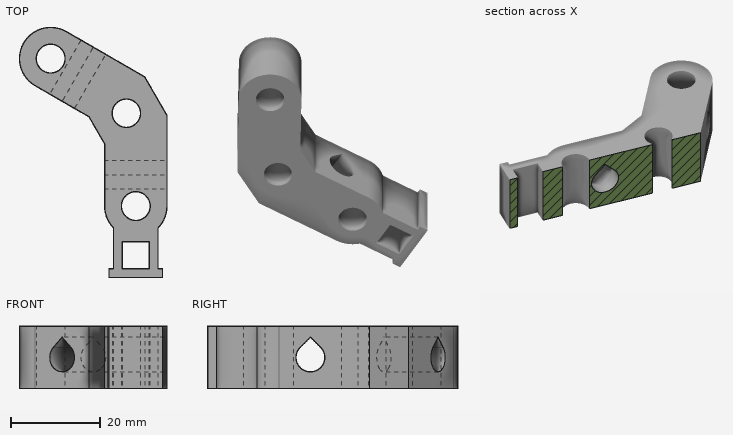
import cadquery as cq
import math

thickness = 14.0
beam_width = 14.0
arm_length = 22.0
arm_tilt = 30.0
end_hole_diameter = 6.4
elbow_hole_diameter = 6.3
cross_hole_offset = 7.0
elbow_offset = 2.45
elbow_width = 15.3
neck_width = 10.0
foot_width = 12.0
foot_length = 2.0
window_size = 6.0
tail_length = 16.0

beam_radius = beam_width / 2
hole_radius = end_hole_diameter / 2
mid_height = thickness / 2
foot_top = foot_length - tail_length

tilt = math.radians(arm_tilt)
arm_x, arm_y = -math.cos(tilt), math.sin(tilt)
bisector_x, bisector_y = math.cos(tilt), math.sin(tilt)

elbow_x = -elbow_offset * bisector_x
elbow_y = arm_length - elbow_offset * bisector_y


def upper_arm_point(along, outward):
    """Point at a distance along the upper arm from the centreline meeting point."""
    return (along * arm_x + outward * arm_y, arm_length + along * arm_y - outward * arm_x)


upper_x, upper_y = upper_arm_point(arm_length, 0)


def elbow_flat(side):
    """Ends of an elbow flat (lower arm, upper arm); side is +1 outer, -1 inner."""
    flat_distance = side * elbow_width / 2 - elbow_offset
    edge = side * beam_radius
    along = (edge * math.cos(tilt) - flat_distance) / math.sin(tilt)
    return (edge, arm_length - along), upper_arm_point(along, edge)


def make_beam():
    outer_lower, outer_upper = elbow_flat(1)
    inner_lower, inner_upper = elbow_flat(-1)
    return (
        cq.Workplane("XY")
        .moveTo(beam_radius, 0)
        .lineTo(*outer_lower)
        .lineTo(*outer_upper)
        .lineTo(*upper_arm_point(arm_length, beam_radius))
        .threePointArc(
            upper_arm_point(arm_length + beam_radius, 0),
            upper_arm_point(arm_length, -beam_radius),
        )
        .lineTo(*inner_upper)
        .lineTo(*inner_lower)
        .lineTo(-beam_radius, 0)
        .threePointArc((0, -beam_radius), (beam_radius, 0))
        .close()
        .extrude(thickness)
    )


def block(width, bottom, top):
    """Full-height block centred on X, between two Y positions."""
    return (
        cq.Workplane("XY")
        .center(0, (bottom + top) / 2)
        .rect(width, top - bottom)
        .extrude(thickness)
    )


def make_cross_hole():
    """Teardrop hole along X at the origin, with a 45 degree peak pointing up."""
    shoulder = hole_radius * math.sqrt(0.5)
    peak = hole_radius * math.sqrt(2)
    return (
        cq.Workplane("YZ")
        .moveTo(shoulder, shoulder)
        .lineTo(0, peak)
        .lineTo(-shoulder, shoulder)
        .threePointArc((0, -hole_radius), (shoulder, shoulder))
        .close()
        .extrude(beam_width, both=True)
    )


def make_pivot_holes():
    ends = [(0, 0), (upper_x, upper_y)]
    end_holes = cq.Workplane("XY").pushPoints(ends).circle(hole_radius).extrude(thickness)
    elbow_hole = (
        cq.Workplane("XY")
        .center(elbow_x, elbow_y)
        .circle(elbow_hole_diameter / 2)
        .extrude(thickness)
    )
    return end_holes.union(elbow_hole)


body = make_beam()
body = body.union(block(neck_width, foot_top, 0))
body = body.union(block(foot_width, -tail_length, foot_top))

body = body.cut(block(window_size, foot_top, foot_top + window_size))

body = body.cut(make_pivot_holes())

cross_hole = make_cross_hole()
lower_cross_hole = cross_hole.translate((0, cross_hole_offset, mid_height))
upper_cross_x, upper_cross_y = upper_arm_point(arm_length - cross_hole_offset, 0)
upper_cross_hole = cross_hole.rotate((0, 0, 0), (0, 0, 1), 90 - arm_tilt).translate(
    (upper_cross_x, upper_cross_y, mid_height)
)
body = body.cut(lower_cross_hole).cut(upper_cross_hole)

result = body